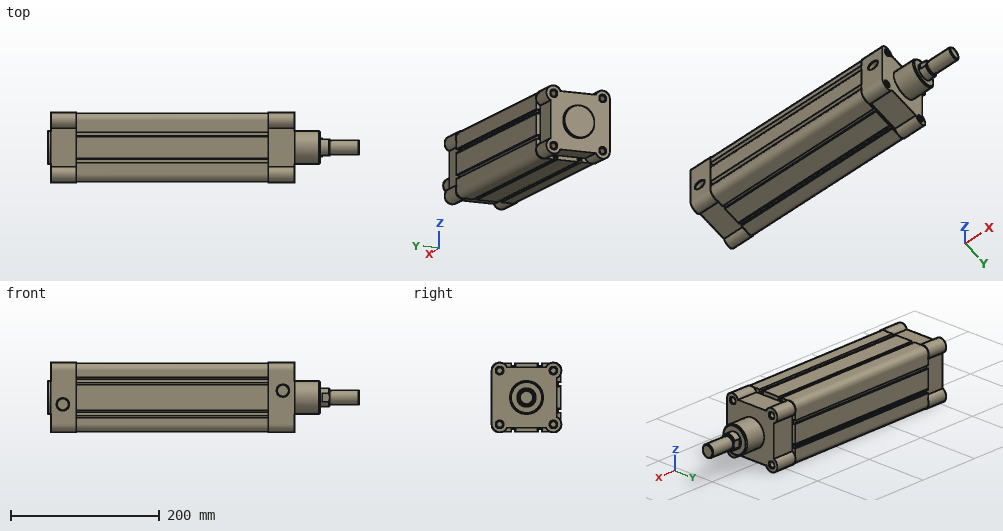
import cadquery as cq

TOTAL_LENGTH = 418.0
BOSS_LENGTH = 4.0
REAR_CAP_LENGTH = 34.0
FRONT_CAP_LENGTH = 35.5
COLLAR_LENGTH = 34.3
TUBE_LENGTH = 258.0
SHOULDER_LENGTH = 12.5

REAR_CAP_X = BOSS_LENGTH
TUBE_X = REAR_CAP_X + REAR_CAP_LENGTH
FRONT_CAP_X = TUBE_X + TUBE_LENGTH
COLLAR_X = FRONT_CAP_X + FRONT_CAP_LENGTH
COLLAR_END_X = COLLAR_X + COLLAR_LENGTH
SHOULDER_END_X = COLLAR_END_X + SHOULDER_LENGTH

CAP_SIZE = 94.0
CORNER_RADIUS = 11.0
CORNER_OFFSET = CAP_SIZE / 2 - CORNER_RADIUS
RECESS_DEPTH = 6.5
COLLAR_DIAMETER = 44.7
COLLAR_CHAMFER = 1.5
BOSS_CHAMFER = 0.5

SCREW_HOLE_DIAMETER = 8.5
SCREW_HOLE_DEPTH = 16.0
SCREW_HOLE_CHAMFER = 1.3

PORT_DIAMETER = 15.5
PORT_CHAMFER = 1.0
PORT_DEPTH = 12.0
PORT_INSET = 16.0
PORT_HEIGHT = 9.0

TUBE_SIZE = 92.5
TUBE_CORNER_RADIUS = TUBE_SIZE / 2 - CORNER_OFFSET
SLOT_OUTER = 20.5
SLOT_INNER = 15.5
SLOT_UNDERCUT = 1.0
SLOT_LIP = 1.3
SLOT_DEPTH = 3.8
GROOVE_CENTER = 22.0
GROOVE_WIDTH = 10.0
GROOVE_FLOOR_WIDTH = 5.0
GROOVE_DEPTH = 5.5

ROD_DIAMETER = 25.0
ROD_CHAMFER = 1.3
ROD_FLAT_WIDTH = 22.0
FLAT_START = 2.5
THREAD_DIAMETER = 20.0
THREAD_CHAMFER = 1.3
NECK_DIAMETER = 19.0
NECK_LENGTH = 1.3
NECK_TAPER_LENGTH = 2.0


def cylinder(x, length, diameter, y=0.0, z=0.0):
    """Cylinder along +X starting at x."""
    return cq.Workplane("YZ", origin=(x, y, z)).circle(diameter / 2).extrude(length)


def block(x, length, y_min, y_max, z_min, z_max):
    """Axis-aligned block starting at x, between the given Y and Z limits."""
    size = (length, y_max - y_min, z_max - z_min)
    return cq.Workplane("XY").box(*size, centered=False).translate((x, y_min, z_min))


def chamfered_hole(plane, origin, diameter, depth, chamfer):
    """Cutter for a blind hole with a chamfered mouth, going into the plane's -normal side."""
    hole = cq.Workplane(plane, origin=origin).circle(diameter / 2).extrude(-depth)
    mouth = (
        cq.Workplane(plane, origin=origin)
        .circle(diameter / 2 + chamfer)
        .workplane(offset=-chamfer)
        .circle(diameter / 2)
        .loft()
    )
    return hole.union(mouth)


def cap_block(x, length):
    """Cap with round corner lobes, recessed on +Y and both Z sides and flat on -Y."""
    inner = CAP_SIZE / 2 - RECESS_DEPTH
    cap = block(x, length, -inner, inner, -inner, inner)
    cap = cap.union(
        block(x, length, -CAP_SIZE / 2, -CORNER_OFFSET, -CORNER_OFFSET, CORNER_OFFSET)
    )
    for y in (-CORNER_OFFSET, CORNER_OFFSET):
        for z in (-CORNER_OFFSET, CORNER_OFFSET):
            cap = cap.union(cylinder(x, length, 2 * CORNER_RADIUS, y, z))
    return cap


def cut_screw_holes(cap, plane, face_x):
    """Four blind screw holes, one in each corner of the cap's outer end face."""
    for y in (-CORNER_OFFSET, CORNER_OFFSET):
        for z in (-CORNER_OFFSET, CORNER_OFFSET):
            cap = cap.cut(
                chamfered_hole(
                    plane, (face_x, y, z), SCREW_HOLE_DIAMETER, SCREW_HOLE_DEPTH, SCREW_HOLE_CHAMFER
                )
            )
    return cap


def cut_port(cap, x, z):
    """Blind air port in the -Y face."""
    return cap.cut(
        chamfered_hole("XZ", (x, -CAP_SIZE / 2, z), PORT_DIAMETER, PORT_DEPTH, PORT_CHAMFER)
    )


def make_rear_cap():
    """Cap with a low centring boss."""
    boss = cylinder(0, BOSS_LENGTH, COLLAR_DIAMETER).faces("<X").chamfer(BOSS_CHAMFER)
    cap = cap_block(REAR_CAP_X, REAR_CAP_LENGTH).union(boss)
    cap = cut_screw_holes(cap, "ZY", REAR_CAP_X)
    return cut_port(cap, REAR_CAP_X + PORT_INSET, -PORT_HEIGHT)


def make_front_cap():
    """Cap with a long collar, bored through for the rod."""
    collar = cylinder(COLLAR_X, COLLAR_LENGTH, COLLAR_DIAMETER).faces(">X").chamfer(COLLAR_CHAMFER)
    cap = cap_block(FRONT_CAP_X, FRONT_CAP_LENGTH).union(collar)
    cap = cut_screw_holes(cap, "YZ", COLLAR_X)
    cap = cut_port(cap, COLLAR_X - PORT_INSET, PORT_HEIGHT)
    return cap.cut(cylinder(FRONT_CAP_X, FRONT_CAP_LENGTH + COLLAR_LENGTH, ROD_DIAMETER))


def tube_cutter(points):
    """Prism over the whole tube length from an outline of (Y, Z) points."""
    return cq.Workplane("YZ", origin=(TUBE_X, 0, 0)).polyline(points).close().extrude(TUBE_LENGTH)


def make_undercut_slot():
    """Slot in the +Z face, undercut towards the middle."""
    top = TUBE_SIZE / 2
    return tube_cutter(
        [
            (SLOT_OUTER, top),
            (SLOT_OUTER, top - SLOT_DEPTH),
            (SLOT_INNER - SLOT_UNDERCUT, top - SLOT_DEPTH),
            (SLOT_INNER - SLOT_UNDERCUT, top - SLOT_LIP),
            (SLOT_INNER, top - SLOT_LIP),
            (SLOT_INNER, top),
        ]
    )


def make_sloped_groove():
    """Groove in the -Y face with sloping sides, above the axis."""
    face = -TUBE_SIZE / 2
    return tube_cutter(
        [
            (face, GROOVE_CENTER + GROOVE_WIDTH / 2),
            (face + GROOVE_DEPTH, GROOVE_CENTER + GROOVE_FLOOR_WIDTH / 2),
            (face + GROOVE_DEPTH, GROOVE_CENTER - GROOVE_FLOOR_WIDTH / 2),
            (face, GROOVE_CENTER - GROOVE_WIDTH / 2),
        ]
    )


def make_tube():
    """Rounded square profile: slot pairs in +Y and both Z faces, sloped grooves in -Y."""
    tube = (
        cq.Workplane("YZ", origin=(TUBE_X, 0, 0))
        .rect(TUBE_SIZE, TUBE_SIZE)
        .extrude(TUBE_LENGTH)
        .edges("|X")
        .fillet(TUBE_CORNER_RADIUS)
    )
    slot = make_undercut_slot()
    slot_pair = slot.union(slot.mirror("XZ"))
    for angle in (-90, 0, 180):
        tube = tube.cut(slot_pair.rotate((0, 0, 0), (1, 0, 0), angle))
    groove = make_sloped_groove()
    return tube.cut(groove).cut(groove.mirror("XY"))


def make_rod():
    """Rod through the front cap with two wrench flats, a tapered neck and a threaded end."""
    rod = cylinder(FRONT_CAP_X, SHOULDER_END_X - FRONT_CAP_X, ROD_DIAMETER)
    rod = rod.faces(">X").chamfer(ROD_CHAMFER)
    flat_x = COLLAR_END_X + FLAT_START
    flat_length = SHOULDER_END_X - flat_x
    radius = ROD_DIAMETER / 2
    flat_cut = block(flat_x, flat_length, ROD_FLAT_WIDTH / 2, radius, -radius, radius)
    rod = rod.cut(flat_cut).cut(flat_cut.mirror("XZ"))
    neck = cylinder(SHOULDER_END_X, NECK_LENGTH, NECK_DIAMETER)
    taper_x = SHOULDER_END_X + NECK_LENGTH
    taper = cq.Workplane(
        cq.Solid.makeCone(
            NECK_DIAMETER / 2,
            THREAD_DIAMETER / 2,
            NECK_TAPER_LENGTH,
            cq.Vector(taper_x, 0, 0),
            cq.Vector(1, 0, 0),
        )
    )
    thread_x = taper_x + NECK_TAPER_LENGTH
    thread = cylinder(thread_x, TOTAL_LENGTH - thread_x, THREAD_DIAMETER)
    thread = thread.faces(">X").chamfer(THREAD_CHAMFER)
    return rod.union(neck).union(taper).union(thread)


rear_cap = make_rear_cap()
tube = make_tube()
front_cap = make_front_cap()
rod = make_rod()

result = cq.Compound.makeCompound([rear_cap.val(), tube.val(), front_cap.val(), rod.val()])